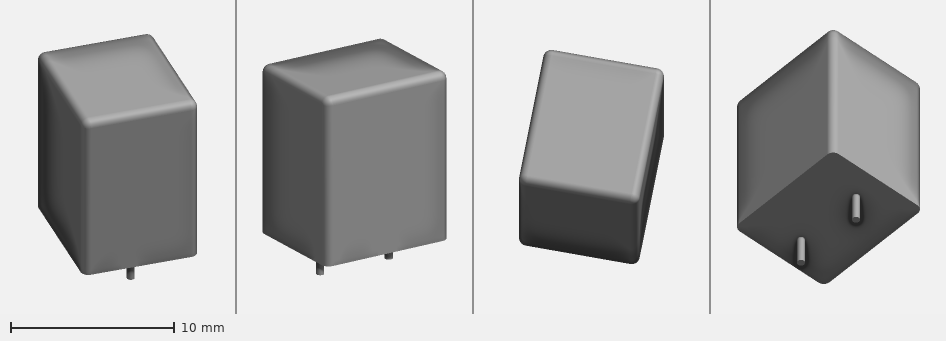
import cadquery as cq

body_length = 9.0
body_width = 7.5
overall_height = 13.0
pin_length = 2.0
body_height = overall_height - pin_length

edge_radius = 0.5
pin_diameter = 0.5
pin_spacing = 5.0


def make_body():
    """Box standing on Z = 0, rounded on its upright and top edges."""
    box = cq.Workplane("XY").box(body_length, body_width, body_height, centered=(True, True, False))
    return box.edges("|Z or >Z").fillet(edge_radius)


def make_pins():
    """Two round leads hanging below the body, in line along X."""
    pin_centers = [(-pin_spacing / 2, 0), (pin_spacing / 2, 0)]
    return cq.Workplane("XY").pushPoints(pin_centers).circle(pin_diameter / 2).extrude(-pin_length)


result = make_body().union(make_pins())